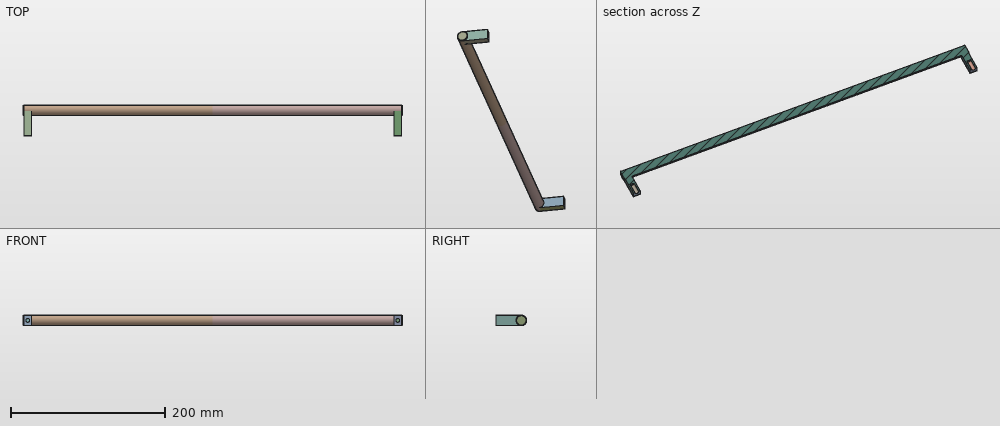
import cadquery as cq

length = 492.0
depth = 40.0
bar_diameter = 14.0
end_chamfer = 0.75

leg_width = 10.5
leg_relief = 0.15
leg_inset = 0.75
hole_diameter = 5.0
hole_depth = 15.0

bar_radius = bar_diameter / 2
leg_height = bar_diameter - 2 * leg_relief
mount_face_y = bar_radius - depth
leg_offset = (length - leg_width) / 2 - leg_inset


def make_bar():
    """Round grip along X, centred on the origin, with chamfered ends."""
    bar = cq.Workplane("YZ").circle(bar_radius).extrude(length / 2, both=True)
    return bar.faces("<X or >X").edges().chamfer(end_chamfer)


def make_leg(x):
    """Rectangular leg from the bar axis to the mounting face."""
    leg = cq.Workplane("XY").box(
        leg_width, -mount_face_y, leg_height, centered=(True, False, True)
    )
    return leg.translate((x, mount_face_y, 0))


def make_hole(x):
    """Blind mounting hole drilled along +Y from the mounting face."""
    face = cq.Workplane("XZ", origin=(x, mount_face_y, 0))
    return face.circle(hole_diameter / 2).extrude(-hole_depth)


result = make_bar()
for leg_x in (-leg_offset, leg_offset):
    result = result.union(make_leg(leg_x)).cut(make_hole(leg_x))